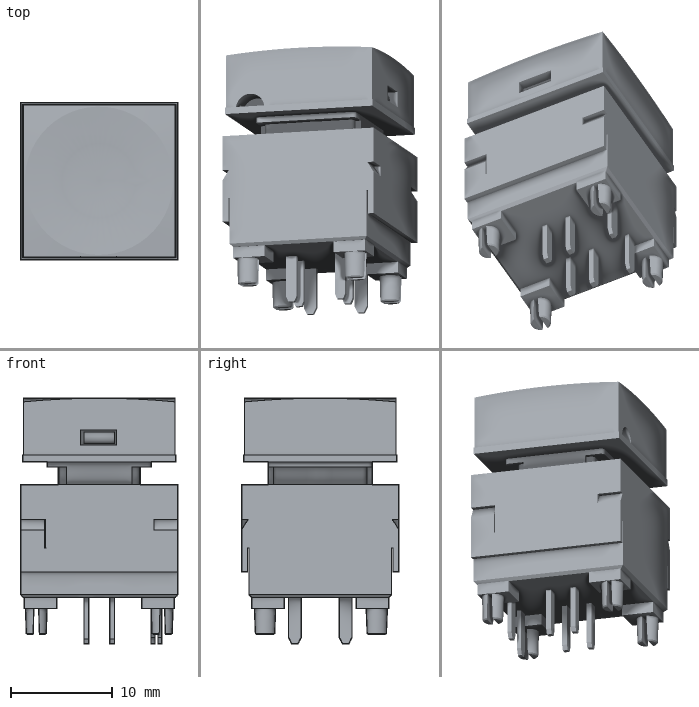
import cadquery as cq
import math


BLADE_TIP_Z = -3.48
POST_TIP_Z = -2.55
BODY_BOTTOM_Z = 1.07
TAB_BOTTOM_Z = 3.62
TAB_SLOT_TOP_Z = 5.95
NOTCH_BOTTOM_Z = 7.76
NOTCH_TOP_Z = 8.78
BODY_TOP_Z = 12.2
COLLAR_BOTTOM_Z = 13.92
FLANGE_BOTTOM_Z = 14.45
FLANGE_TOP_Z = 15.1
CAP_TOP_Z = 20.72

BODY_SIZE = 15.5
CORE_DEPTH = 14.06
TAB_THICKNESS = 0.6
BOTTOM_CHAMFER = 0.3
NOTCH_LENGTH = 2.38
NOTCH_DEPTH = 0.65
TAB_SLIT_WIDTH = 0.1

CAP_SIZE = 14.94
FLANGE_SIZE = 15.1
RIM_RADIUS = 7.3
DOME_RADIUS = 79.0
DISH_DEPTH = 0.35

WINDOW_CENTER_X = -0.07
WINDOW_WIDTH = 3.55
WINDOW_TOP_Z = 17.6
WINDOW_BOTTOM_Z = 16.08
WINDOW_DEPTH = 1.0
SNAP_BAR_CENTER_X = 0.01
SNAP_BAR_WIDTH = 3.0
SNAP_BAR_HALF_HEIGHT = 0.56
SNAP_BAR_RISE = 0.25
SNAP_BAR_CENTER_Z = 16.8

PRY_CENTER_Y = 5.0
PRY_RADIUS = 1.46
PRY_RISE = 1.26
CAP_WALL = 1.15
PRY_DEPTH = 2.5

COLLAR_SIZE = 10.24
COLLAR_RADIUS = 0.4
STEM_CORE_WIDTH = 6.4
STEM_WIDTH = 7.94
STEM_DEPTH = 9.18
STEM_RADIUS = 0.44
STEM_RIB_HALF_CHORD = 1.22
STEM_RIB_RISE = 0.1

FOOT_SIZE = 3.22
FOOT_X = 5.79
FOOT_Y = 5.15
POST_X = 6.2
POST_SPACING_Y = 11.0
POST_SHIFT_Y = 0.065
POST_TOP_DIAMETER = 2.17
POST_TIP_DIAMETER = 2.0
POST_CHAMFER = 0.12
POST_SLOT_TOP = 0.45
POST_SLOT_TIP = 0.6

BLADE_Y = 2.5
BLADE_TIP_WIDTH = 0.62
SWITCH_BLADE_X = 1.27
SWITCH_BLADE_THICKNESS = 0.5
SWITCH_BLADE_WIDTH = 1.05
SWITCH_BLADE_TAPER = 0.5
LAMP_BLADE_THICKNESS = 0.41
LAMP_BLADE_WIDTH = 1.27
LAMP_BLADE_TAPER = 0.63
LAMP_BLADES = ((5.29, BLADE_Y), (5.97, -BLADE_Y))

OVERLAP = 0.2
SIDES = (-1, 1)


def block(x_size, y_size, bottom_z, top_z, x=0.0, y=0.0):
    """Box centred on (x, y) between two heights."""
    return (
        cq.Workplane("XY", origin=(x, y, bottom_z))
        .rect(x_size, y_size)
        .extrude(top_z - bottom_z)
    )


def make_corner_notch(x_side, y_side):
    """Triangular notch: flat roof, sloping floor that meets the outer face."""
    outer_y = y_side * BODY_SIZE / 2
    inner_y = y_side * (BODY_SIZE / 2 - NOTCH_DEPTH)
    profile = [(outer_y, NOTCH_BOTTOM_Z), (outer_y, NOTCH_TOP_Z), (inner_y, NOTCH_TOP_Z)]
    start_x = BODY_SIZE / 2 - NOTCH_LENGTH if x_side > 0 else -BODY_SIZE / 2
    return cq.Workplane("YZ", origin=(start_x, 0, 0)).polyline(profile).close().extrude(NOTCH_LENGTH)


def make_body():
    body = block(BODY_SIZE, CORE_DEPTH, BODY_BOTTOM_Z, BODY_TOP_Z)
    body = body.faces("<Z").chamfer(BOTTOM_CHAMFER)
    body = body.union(block(BODY_SIZE, BODY_SIZE, TAB_SLOT_TOP_Z, BODY_TOP_Z))
    for y_side in SIDES:
        tab_y = y_side * (BODY_SIZE - TAB_THICKNESS) / 2
        tab_top_z = TAB_SLOT_TOP_Z + OVERLAP
        body = body.union(block(BODY_SIZE, TAB_THICKNESS, TAB_BOTTOM_Z, tab_top_z, y=tab_y))
    for x_side in SIDES:
        for y_side in SIDES:
            body = body.cut(make_corner_notch(x_side, y_side))
    for side in SIDES:
        slit_x = side * (BODY_SIZE / 2 - NOTCH_LENGTH - TAB_SLIT_WIDTH / 2)
        slit_y = side * (BODY_SIZE - NOTCH_DEPTH) / 2
        slit = block(TAB_SLIT_WIDTH, NOTCH_DEPTH, TAB_SLOT_TOP_Z, NOTCH_TOP_Z, slit_x, slit_y)
        body = body.cut(slit)
    return body


def make_stem_rib(side):
    """Shallow upright rib with a curved face, on one X side of the stem."""
    root_x = side * STEM_WIDTH / 2
    crest_x = root_x + side * STEM_RIB_RISE
    return (
        cq.Workplane("XY", origin=(0, 0, BODY_TOP_Z - OVERLAP))
        .moveTo(0, -STEM_RIB_HALF_CHORD)
        .lineTo(root_x, -STEM_RIB_HALF_CHORD)
        .threePointArc((crest_x, 0), (root_x, STEM_RIB_HALF_CHORD))
        .lineTo(0, STEM_RIB_HALF_CHORD)
        .close()
        .extrude(COLLAR_BOTTOM_Z - BODY_TOP_Z + 2 * OVERLAP)
    )


def make_plunger():
    stem_bottom_z = BODY_TOP_Z - OVERLAP
    collar_top_z = FLANGE_BOTTOM_Z + OVERLAP
    plunger = block(COLLAR_SIZE, COLLAR_SIZE, COLLAR_BOTTOM_Z, collar_top_z)
    plunger = plunger.edges("|Z").fillet(COLLAR_RADIUS)
    stem = block(STEM_WIDTH, STEM_DEPTH, stem_bottom_z, COLLAR_BOTTOM_Z + OVERLAP)
    stem = stem.edges("|Z").fillet(STEM_RADIUS)
    core = block(STEM_CORE_WIDTH, COLLAR_SIZE, stem_bottom_z, COLLAR_BOTTOM_Z + OVERLAP)
    plunger = plunger.union(stem).union(core)
    for side in SIDES:
        plunger = plunger.union(make_stem_rib(side))
    return plunger


def make_cap_crown():
    """Round body with a domed top outside the rim and a dish inside it."""
    outer_radius = CAP_SIZE / math.sqrt(2) + OVERLAP
    dome_center_z = CAP_TOP_Z - math.sqrt(DOME_RADIUS**2 - RIM_RADIUS**2)

    def dome_z(radius):
        return dome_center_z + math.sqrt(DOME_RADIUS**2 - radius**2)

    dish_radius = (RIM_RADIUS**2 + DISH_DEPTH**2) / (2 * DISH_DEPTH)
    dish_bottom_z = CAP_TOP_Z - DISH_DEPTH
    dish_mid_radius = RIM_RADIUS / 2
    dish_mid_z = dish_bottom_z + dish_radius - math.sqrt(dish_radius**2 - dish_mid_radius**2)
    dome_mid_radius = (RIM_RADIUS + outer_radius) / 2
    return (
        cq.Workplane("XZ")
        .moveTo(0, FLANGE_BOTTOM_Z)
        .lineTo(outer_radius, FLANGE_BOTTOM_Z)
        .lineTo(outer_radius, dome_z(outer_radius))
        .threePointArc((dome_mid_radius, dome_z(dome_mid_radius)), (RIM_RADIUS, CAP_TOP_Z))
        .threePointArc((dish_mid_radius, dish_mid_z), (0, dish_bottom_z))
        .close()
        .revolve(360, (0, 0, 0), (0, 1, 0))
    )


def cut_window(cap):
    face_y = -CAP_SIZE / 2
    pocket_y = face_y + WINDOW_DEPTH / 2
    pocket = block(WINDOW_WIDTH, WINDOW_DEPTH, WINDOW_BOTTOM_Z, WINDOW_TOP_Z, WINDOW_CENTER_X, pocket_y)
    pocket_back_y = face_y + WINDOW_DEPTH
    bar = (
        cq.Workplane("YZ", origin=(SNAP_BAR_CENTER_X - SNAP_BAR_WIDTH / 2, 0, 0))
        .moveTo(pocket_back_y + OVERLAP, SNAP_BAR_CENTER_Z - SNAP_BAR_HALF_HEIGHT)
        .lineTo(pocket_back_y, SNAP_BAR_CENTER_Z - SNAP_BAR_HALF_HEIGHT)
        .threePointArc(
            (pocket_back_y - SNAP_BAR_RISE, SNAP_BAR_CENTER_Z),
            (pocket_back_y, SNAP_BAR_CENTER_Z + SNAP_BAR_HALF_HEIGHT),
        )
        .lineTo(pocket_back_y + OVERLAP, SNAP_BAR_CENTER_Z + SNAP_BAR_HALF_HEIGHT)
        .close()
        .extrude(SNAP_BAR_WIDTH)
    )
    return cap.cut(pocket).union(bar)


def cut_pry_notch(cap):
    """Arched notch through the cap wall, running on behind it beside an inner side wall."""
    face_x = -CAP_SIZE / 2
    arch = (
        cq.Workplane("YZ", origin=(face_x, 0, 0))
        .center(PRY_CENTER_Y, FLANGE_TOP_Z + PRY_RISE - PRY_RADIUS)
        .circle(PRY_RADIUS)
        .extrude(PRY_DEPTH)
    )
    inner_half = CAP_SIZE / 2 - CAP_WALL
    mouth = block(CAP_WALL, CAP_SIZE, FLANGE_TOP_Z, CAP_TOP_Z, x=face_x + CAP_WALL / 2)
    cavity = block(2 * inner_half, 2 * inner_half, FLANGE_TOP_Z, CAP_TOP_Z)
    return cap.cut(arch.intersect(mouth.union(cavity)))


def make_cap():
    cap = make_cap_crown().intersect(block(CAP_SIZE, CAP_SIZE, FLANGE_BOTTOM_Z, CAP_TOP_Z))
    cap = cap.union(block(FLANGE_SIZE, FLANGE_SIZE, FLANGE_BOTTOM_Z, FLANGE_TOP_Z))
    return cut_pry_notch(cut_window(cap))


def make_split_post(x, y):
    """Tapered post parted by a slot along Y that opens towards the tip."""
    length = OVERLAP - POST_TIP_Z
    post = (
        cq.Workplane("XY", origin=(x, y, OVERLAP))
        .circle(POST_TOP_DIAMETER / 2)
        .workplane(offset=-length)
        .circle(POST_TIP_DIAMETER / 2)
        .loft()
        .faces("<Z")
        .chamfer(POST_CHAMFER)
    )
    slot_profile = [
        (x - POST_SLOT_TOP / 2, 0),
        (x + POST_SLOT_TOP / 2, 0),
        (x + POST_SLOT_TIP / 2, POST_TIP_Z),
        (x - POST_SLOT_TIP / 2, POST_TIP_Z),
    ]
    slot = (
        cq.Workplane("XZ", origin=(0, y, 0))
        .polyline(slot_profile)
        .close()
        .extrude(POST_TOP_DIAMETER, both=True)
    )
    return post.cut(slot)


def make_blade(x, y, thickness, width, taper_height):
    """Flat terminal, wide along Y, with a tapered tip."""
    shoulder_z = BLADE_TIP_Z + taper_height
    root_z = BODY_BOTTOM_Z + OVERLAP
    profile = [
        (y - width / 2, root_z),
        (y - width / 2, shoulder_z),
        (y - BLADE_TIP_WIDTH / 2, BLADE_TIP_Z),
        (y + BLADE_TIP_WIDTH / 2, BLADE_TIP_Z),
        (y + width / 2, shoulder_z),
        (y + width / 2, root_z),
    ]
    return cq.Workplane("YZ", origin=(x - thickness / 2, 0, 0)).polyline(profile).close().extrude(thickness)


def add_feet_and_posts(part):
    for x_side in SIDES:
        for y_side in SIDES:
            foot_top_z = BODY_BOTTOM_Z + OVERLAP
            foot = block(FOOT_SIZE, FOOT_SIZE, 0, foot_top_z, x_side * FOOT_X, y_side * FOOT_Y)
            post_y = y_side * POST_SPACING_Y / 2 + POST_SHIFT_Y
            part = part.union(foot).union(make_split_post(x_side * POST_X, post_y))
    return part


def add_terminals(part):
    for x_side in SIDES:
        for y_side in SIDES:
            blade = make_blade(
                x_side * SWITCH_BLADE_X,
                y_side * BLADE_Y,
                SWITCH_BLADE_THICKNESS,
                SWITCH_BLADE_WIDTH,
                SWITCH_BLADE_TAPER,
            )
            part = part.union(blade)
    for x, y in LAMP_BLADES:
        part = part.union(make_blade(x, y, LAMP_BLADE_THICKNESS, LAMP_BLADE_WIDTH, LAMP_BLADE_TAPER))
    return part


switch = make_body().union(make_plunger()).union(make_cap())
result = add_terminals(add_feet_and_posts(switch))